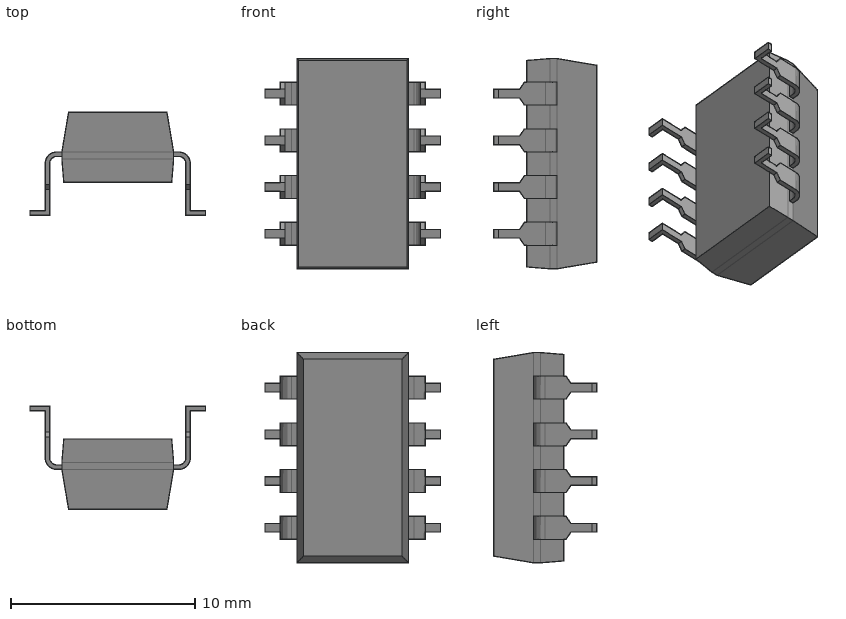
import cadquery as cq

body_width = 6.08
body_height = 11.43
rear_depth = 2.16
band_depth = 0.39
front_depth = 1.27
rear_inset = 0.37
front_inset = 0.1

leads_per_side = 4
lead_pitch = 2.54
lead_thickness = 0.25
lead_bend_radius = 0.63
lead_outer_x = 3.94
foot_tip_x = 4.78
lead_width = 1.26
tail_width = 0.48
shoulder_start = 3.93
shoulder_end = 4.2
part_depth = 5.6

foot_y = rear_depth - part_depth
shoulder_start_y = rear_depth - shoulder_start
shoulder_end_y = rear_depth - shoulder_end


def tapered_block(start_y, end_y, inset):
    """Loft from the full body outline at start_y to an inset outline at end_y."""
    return (
        cq.Workplane("XZ", origin=(0, start_y, 0))
        .rect(body_width, body_height)
        .workplane(offset=start_y - end_y)
        .rect(body_width - 2 * inset, body_height - 2 * inset)
        .loft(combine=True, ruled=True)
    )


def make_body():
    band = cq.Workplane("XZ").rect(body_width, body_height).extrude(band_depth)
    rear = tapered_block(0, rear_depth, rear_inset)
    front = tapered_block(-band_depth, -band_depth - front_depth, front_inset)
    return band.union(rear).union(front)


def make_lead():
    """Right-hand lead centred on Z = 0: bent strip trimmed to its stepped outline."""
    root_x = body_width / 2 - lead_thickness
    inner_x = lead_outer_x - lead_thickness
    inner_radius = lead_bend_radius - lead_thickness
    bend_x = lead_outer_x - lead_bend_radius
    strip = (
        cq.Workplane("XY")
        .moveTo(root_x, 0)
        .lineTo(bend_x, 0)
        .radiusArc((lead_outer_x, -lead_bend_radius), lead_bend_radius)
        .lineTo(lead_outer_x, foot_y + lead_thickness)
        .lineTo(foot_tip_x, foot_y + lead_thickness)
        .lineTo(foot_tip_x, foot_y)
        .lineTo(inner_x, foot_y)
        .lineTo(inner_x, -lead_bend_radius)
        .radiusArc((bend_x, -lead_thickness), -inner_radius)
        .lineTo(root_x, -lead_thickness)
        .close()
        .extrude(lead_width / 2, both=True)
    )
    outline = (
        cq.Workplane("YZ")
        .moveTo(0, lead_width / 2)
        .lineTo(shoulder_start_y, lead_width / 2)
        .lineTo(shoulder_end_y, tail_width / 2)
        .lineTo(foot_y, tail_width / 2)
        .lineTo(foot_y, -tail_width / 2)
        .lineTo(shoulder_end_y, -tail_width / 2)
        .lineTo(shoulder_start_y, -lead_width / 2)
        .lineTo(0, -lead_width / 2)
        .close()
        .extrude(foot_tip_x)
    )
    return strip.intersect(outline)


result = make_body()
right_lead = make_lead()
left_lead = right_lead.mirror("YZ")
for index in range(leads_per_side):
    lead_z = (index - (leads_per_side - 1) / 2) * lead_pitch
    for lead in (right_lead, left_lead):
        result = result.union(lead.translate((0, 0, lead_z)))